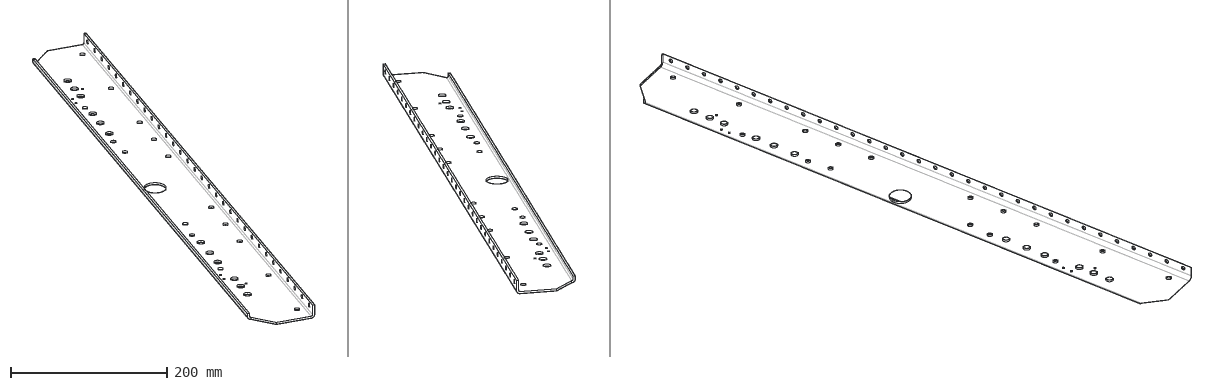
import cadquery as cq

length = 813.0
width = 83.0
rear_height = 19.0
front_height = 9.0
thickness = 3.0
bend_inner_radius = 2.0
bend_outer_radius = bend_inner_radius + thickness

corner_cut = 25.0
lip_length = length - 2 * corner_cut
corner_front_offset = 5.0

rear_flange_hole_count = 32
pitch = length / rear_flange_hole_count
rear_flange_hole_diameter = 5.0
rear_flange_hole_drop = 6.25
rear_flange_hole_height = rear_height - rear_flange_hole_drop
rear_row_pitch_steps = (3, 5, 7, 11, 15)
rear_row_diameter = 6.75
rear_row_inset = 15.0

large_diameter = 10.0
medium_diameter = 6.75
small_diameter = 2.5
group_offset = 3.3
inner_group_y = -width / 4
outer_group_y = inner_group_y + group_offset
medium_group_y = inner_group_y - group_offset
large_holes = (
    [(x, outer_group_y) for x in (273.0, 295.0, 319.5)]
    + [(x, inner_group_y) for x in (162.5, 194.0, 222.0)]
)
medium_holes = [(107.0, inner_group_y), (140.0, medium_group_y), (240.5, medium_group_y)]
small_holes = [(257.0, -30.0), (269.0, -30.0), (291.0, -8.0)]

central_diameter = 28.5
central_holes = [(0, inner_group_y)]

half_width = width / 2


def make_channel():
    """Bent U section with a tall rear flange and a low front lip."""
    section = (
        cq.Workplane("YZ")
        .moveTo(-half_width, front_height)
        .lineTo(-half_width, 0)
        .lineTo(half_width, 0)
        .lineTo(half_width, rear_height)
        .lineTo(half_width - thickness, rear_height)
        .lineTo(half_width - thickness, thickness)
        .lineTo(-half_width + thickness, thickness)
        .lineTo(-half_width + thickness, front_height)
        .close()
        .extrude(length / 2, both=True)
    )
    inner_corners = cq.selectors.BoxSelector(
        (-length, -half_width + thickness / 2, thickness / 2),
        (length, half_width - thickness / 2, thickness * 2),
    )
    section = section.edges("|X").edges(inner_corners).fillet(bend_inner_radius)
    return section.edges("|X and <Z").fillet(bend_outer_radius)


def make_corner_cutter(side):
    """Prism that slopes one front corner and shortens the lip there."""
    end_x = side * length / 2
    outer_x = 2 * end_x
    lip_x = side * lip_length / 2
    slope_front_y = -half_width + corner_front_offset
    return (
        cq.Workplane("XY")
        .moveTo(lip_x, -width)
        .lineTo(lip_x, slope_front_y)
        .lineTo(end_x, slope_front_y + corner_cut)
        .lineTo(outer_x, slope_front_y + corner_cut)
        .lineTo(outer_x, -width)
        .close()
        .extrude(rear_height)
    )


def make_web_holes(positions, diameter):
    """Vertical drills at the given places and at their mirror images."""
    holes = cq.Workplane("XY").pushPoints(positions).circle(diameter / 2).extrude(rear_height)
    return holes.union(holes.mirror("YZ"))


def make_rear_flange_holes():
    """Row of drills along Y through the rear flange only."""
    return (
        cq.Workplane("XZ", origin=(0, half_width + thickness, rear_flange_hole_height))
        .rarray(pitch, 8, rear_flange_hole_count, 1)
        .circle(rear_flange_hole_diameter / 2)
        .extrude(3 * thickness)
    )


rear_row_y = half_width - rear_row_inset
rear_row_holes = [(steps * pitch, rear_row_y) for steps in rear_row_pitch_steps]

result = make_channel()
for side in (-1, 1):
    result = result.cut(make_corner_cutter(side))
for positions, diameter in (
    (rear_row_holes, rear_row_diameter),
    (large_holes, large_diameter),
    (medium_holes, medium_diameter),
    (small_holes, small_diameter),
    (central_holes, central_diameter),
):
    result = result.cut(make_web_holes(positions, diameter))
result = result.cut(make_rear_flange_holes())